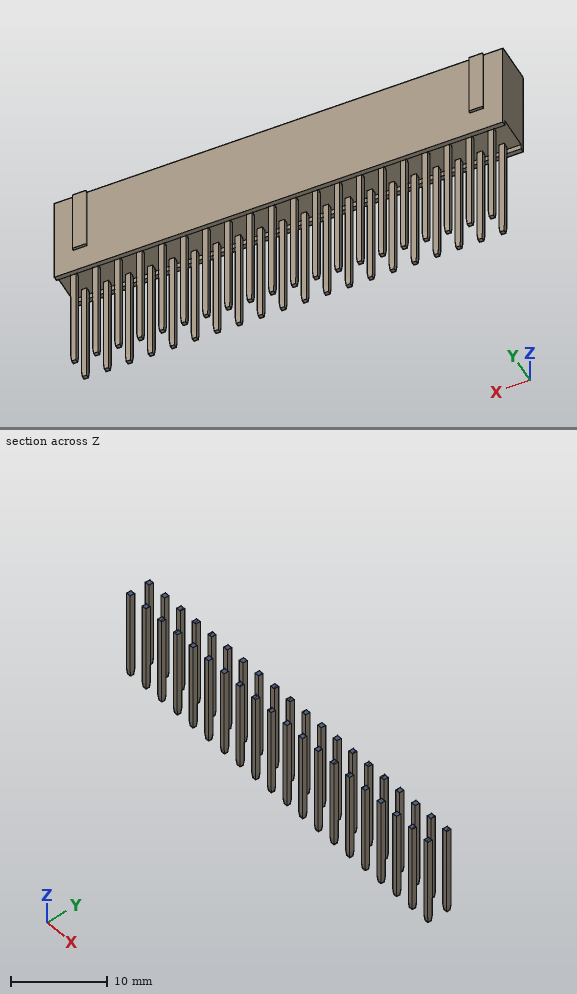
import cadquery as cq

total_height = 23.2
body_length = 51.9
body_depth = 4.9
body_height = 11.0
top_edge_round = 0.15
body_bottom = total_height - body_height

skirt_thickness = 0.5
channel_height = 0.6
channel_top = body_bottom + channel_height

pad_width = 1.6
pad_height = 7.9
pad_projection = 0.3
pad_edge_round = 0.1
pad_center_x = 22.95
pad_top_gap = 0.1
pad_top = total_height - pad_top_gap

pins_per_row = 20
pin_pitch = 2.55
row_spacing = 2.55
pin_size = 0.6
tip_length = 0.8
tip_inset_x = 0.07
tip_inset_y = 0.09
shank_gap = 0.15
shank_top = channel_top - shank_gap


def make_body():
    """Housing block with rounded top edges and a full-length bottom channel."""
    block = (
        cq.Workplane("XY", origin=(0, 0, body_bottom))
        .box(body_length, body_depth, body_height, centered=(True, True, False))
        .edges("|X and >Z")
        .fillet(top_edge_round)
    )
    channel_width = body_depth - 2 * skirt_thickness
    channel = cq.Workplane("XY", origin=(0, 0, body_bottom)).box(
        body_length, channel_width, channel_height, centered=(True, True, False)
    )
    return block.cut(channel)


def make_pads():
    """Two thin pads standing off the back face, one near each end."""
    return (
        cq.Workplane("XY", origin=(0, body_depth / 2, pad_top - pad_height))
        .pushPoints([(-pad_center_x, 0), (pad_center_x, 0)])
        .box(pad_width, 2 * pad_projection, pad_height, centered=(True, True, False))
        .edges("|Z and >Y")
        .fillet(pad_edge_round)
    )


def make_tip():
    """Slightly tapered pin end, narrow side down at Z = 0."""
    return (
        cq.Workplane("XY")
        .rect(pin_size - 2 * tip_inset_x, pin_size - 2 * tip_inset_y)
        .workplane(offset=tip_length)
        .rect(pin_size, pin_size)
        .loft(ruled=True)
    )


def make_pin():
    """Square pin tapered at both ends; the upper taper is buried in the housing."""
    shank = cq.Workplane("XY", origin=(0, 0, tip_length)).box(
        pin_size, pin_size, shank_top - tip_length, centered=(True, True, False)
    )
    lower_tip = make_tip()
    upper_tip = make_tip().mirror("XY").translate((0, 0, shank_top + tip_length))
    return shank.union(lower_tip).union(upper_tip)


def make_pins():
    """Two parallel rows of evenly spaced pins, centred on the housing."""
    positions = cq.Workplane("XY").rarray(pin_pitch, row_spacing, pins_per_row, 2)
    pin = make_pin().val()
    return positions.eachpoint(lambda location: pin.located(location))


result = make_body().union(make_pads()).union(make_pins())